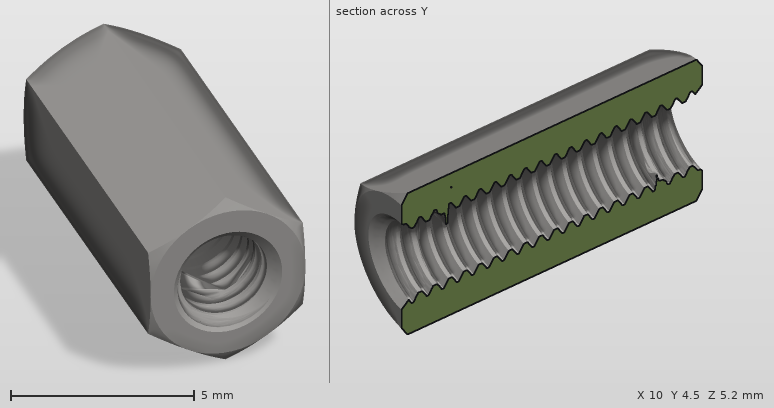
import cadquery as cq
import math

length = 10.0
across_flats = 4.5
across_corners = across_flats / math.cos(math.radians(30))
corner_chamfer_angle = 30.0
blank_clearance = 0.5

thread_major_diameter = 3.0
thread_pitch = 0.5
thread_flank_angle = 30.0
thread_profile_height = thread_pitch * math.sqrt(3) / 2
thread_depth = thread_profile_height * 5 / 8
thread_minor_diameter = thread_major_diameter - 2 * thread_depth
groove_root_width = thread_pitch / 8
bore_overlap = 0.08
thread_start_angle = 90.0

mouth_diameter = 3.15
mouth_angle = 45.0


def hex_bar():
    """Hexagonal bar with flats facing -Y and +Y and corners at -Z and +Z."""
    bar = cq.Workplane("YZ").polygon(6, across_corners).extrude(length)
    return bar.rotate((0, 0, 0), (1, 0, 0), 90)


def turned_body(end_radius, middle_radius, taper_length):
    """Full-length cylinder about X with a conical taper at each end."""
    return (
        cq.Workplane("XY")
        .moveTo(0, 0)
        .lineTo(0, end_radius)
        .lineTo(taper_length, middle_radius)
        .lineTo(length - taper_length, middle_radius)
        .lineTo(length, end_radius)
        .lineTo(length, 0)
        .close()
        .revolve(360, (0, 0, 0), (1, 0, 0))
    )


def corner_chamfer_envelope():
    """Turned blank whose conical ends bevel the corners down to the across-flats circle."""
    face_radius = across_flats / 2
    blank_radius = across_corners / 2 + blank_clearance
    cone_length = (blank_radius - face_radius) * math.tan(math.radians(corner_chamfer_angle))
    return turned_body(face_radius, blank_radius, cone_length)


def bore_cutter():
    """Minor-diameter bore with a conical countersink at each mouth."""
    mouth_radius = mouth_diameter / 2
    minor_radius = thread_minor_diameter / 2
    mouth_depth = (mouth_radius - minor_radius) / math.tan(math.radians(mouth_angle))
    return turned_body(mouth_radius, minor_radius, mouth_depth)


def thread_groove_cutter():
    """Right-handed helical groove, one pitch longer than the part at each end."""
    root_radius = thread_major_diameter / 2
    inner_radius = thread_minor_diameter / 2 - bore_overlap
    half_root = groove_root_width / 2
    half_mouth = half_root + (root_radius - inner_radius) * math.tan(math.radians(thread_flank_angle))
    helix = cq.Wire.makeHelix(thread_pitch, length + 2 * thread_pitch, inner_radius)
    groove = (
        cq.Workplane("XZ")
        .moveTo(inner_radius, -half_mouth)
        .lineTo(root_radius, -half_root)
        .lineTo(root_radius, half_root)
        .lineTo(inner_radius, half_mouth)
        .close()
        .sweep(cq.Workplane(helix), isFrenet=True)
    )
    groove_along_x = groove.translate((0, 0, -thread_pitch)).rotate((0, 0, 0), (0, 1, 0), 90)
    return groove_along_x.rotate((0, 0, 0), (1, 0, 0), thread_start_angle)


body = hex_bar().intersect(corner_chamfer_envelope())
result = body.cut(bore_cutter()).cut(thread_groove_cutter())